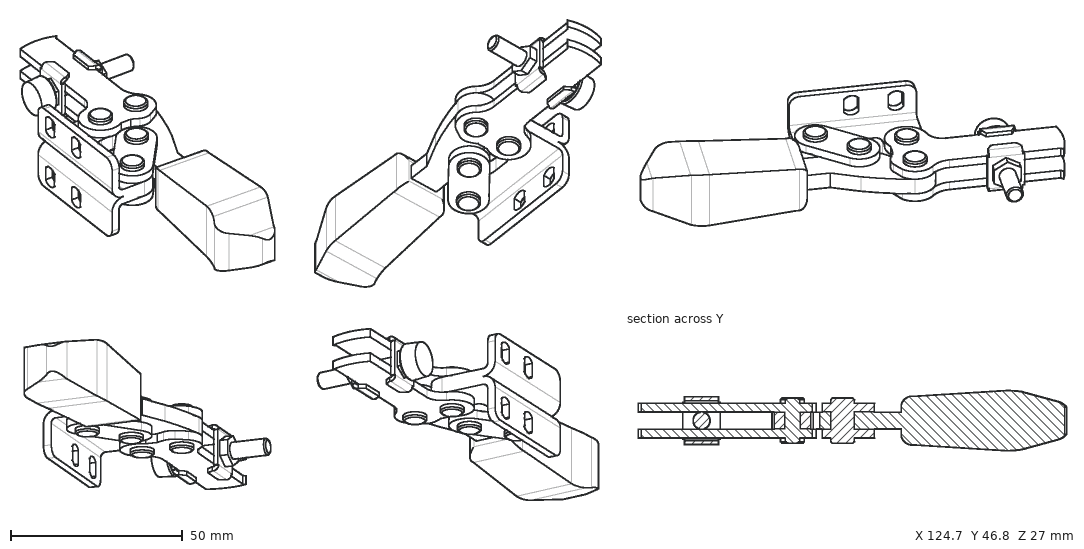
import cadquery as cq
import math


sheet = 2.5
bar_thickness = 2.6
web_half = sheet
plate_outer = web_half + bar_thickness

arm_pivot = (0.0, 0.0)
lever_pivot = (0.0, 12.5)
link_lever_pivot = (14.6, 2.6)
link_base_pivot = (25.8, -6.6)
lobe_radius = 6.0
rivet_radius = 3.5
rivet_half = 6.6
rivet_chamfer = 0.5

base_left = -lobe_radius
base_right = link_base_pivot[0] + lobe_radius
base_bottom = -18.0
overall_height = 46.8
flange_half = 13.5
flange_corner = 3.0
bend_inner = 1.5
bend_outer = bend_inner + sheet
post_right = 6.5
shelf_y = -6.2
shelf_fillet = 2.0
shelf_bend_x = 13.1
shelf_bend_radius = 11.2
slot_width = 4.5
slot_length = 6.5
slot_end_radius = 2.7
slot_z = 8.6
slot_xs = (0.1, 13.3)

bar_bottom = 2.0
bar_top = 14.0
bar_tip_corner = -43.9
bar_tip = -44.9
arm_lobe_radius = 6.5
arm_lower_fillet = 5.0
arm_upper_fillet = 7.0
arm_waist_x = 5.5

strip_bottom = 0.9
strip_top = 10.2
strip_end = 62.4
grip_left = 31.6
grip_tilt = -1.3
grip_axis_y = 5.0
grip_blank_half_z = 25.0
grip_blank_half_y = 37.4

spindle_x = -26.5
spindle_radius = 2.5
spindle_top = base_bottom + overall_height
spindle_chamfer = 0.5
washer_thickness = 1.2
nut_flats = 8.0
upper_nut_height = 2.5
cap_top = -0.6
cap_bottom = -6.0
cap_radius = 5.5
cap_end_radius = 5.1
cap_chamfer = 0.5
washer_half_x = 5.5
washer_half_z = 5.4
wing_half_x = 5.0
wing_tip_half_x = 3.7
wing_bend_inner = 0.4
wing_bend_outer = wing_bend_inner + washer_thickness
wing_reach = 2.6
wing_taper_start = 0.7


def toward(start, end, distance):
    """Point at a distance from start on the way to end."""
    length = math.dist(start, end)
    return tuple(a + (b - a) * distance / length for a, b in zip(start, end))


def lateral(radius, height):
    """Horizontal leg of a right triangle with the given hypotenuse and vertical leg."""
    return math.sqrt(radius**2 - height**2)


def arc_middle(center, start, end):
    """Middle of the short arc from start to end around center."""
    chord_middle = tuple((a + b) / 2 for a, b in zip(start, end))
    return toward(center, chord_middle, math.dist(center, start))


def slab(outline, z_low, z_high):
    """Closed XY outline as a plate from z_low to z_high."""
    return outline.extrude(z_high - z_low).translate((0, 0, z_low))


def disc(center, radius, half):
    """Cylinder along Z, centred on Z = 0."""
    return cq.Workplane("XY").center(*center).circle(radius).extrude(half, both=True)


def rivet(center):
    """Rivet right through the clamp, with chamfered heads."""
    return disc(center, rivet_radius, rivet_half).faces("<Z or >Z").chamfer(rivet_chamfer)



def base_web():
    """Flat web that carries the arm post and the link lobe."""
    bend_center = (shelf_bend_x, shelf_y + shelf_bend_radius)
    lobe_start = toward(link_base_pivot, bend_center, lobe_radius)
    lobe_top = (link_base_pivot[0], link_base_pivot[1] + lobe_radius)
    lobe_right = (base_right, link_base_pivot[1])
    corner_center = (post_right + shelf_fillet, shelf_y + shelf_fillet)
    corner_start = (post_right, corner_center[1])
    corner_end = (corner_center[0], shelf_y)
    rise_start = (shelf_bend_x, shelf_y)
    web_bottom = base_bottom + bend_outer
    outline = (
        cq.Workplane("XY")
        .moveTo(base_left, web_bottom)
        .lineTo(base_left, arm_pivot[1])
        .threePointArc((arm_pivot[0], lobe_radius), (lobe_radius, arm_pivot[1]))
        .lineTo(*corner_start)
        .threePointArc(arc_middle(corner_center, corner_start, corner_end), corner_end)
        .lineTo(*rise_start)
        .threePointArc(arc_middle(bend_center, rise_start, lobe_start), lobe_start)
        .threePointArc(lobe_top, lobe_right)
        .lineTo(base_right, web_bottom)
        .close()
    )
    return slab(outline, -web_half, web_half)


def base_flange():
    """Foot flange on the +Z side, with its bend into the web."""
    bend_center = (base_bottom + bend_outer, bend_outer)
    diagonal = math.sqrt(0.5)
    outer_middle = (bend_center[0] - bend_outer * diagonal, bend_center[1] - bend_outer * diagonal)
    inner_middle = (bend_center[0] - bend_inner * diagonal, bend_center[1] - bend_inner * diagonal)
    profile = (
        cq.Workplane("YZ", origin=(base_left, 0, 0))
        .moveTo(bend_center[0], 0)
        .threePointArc(outer_middle, (base_bottom, bend_outer))
        .lineTo(base_bottom, flange_half)
        .lineTo(base_bottom + sheet, flange_half)
        .lineTo(base_bottom + sheet, bend_outer)
        .threePointArc(inner_middle, (bend_center[0], sheet))
        .close()
    )
    flange = profile.extrude(base_right - base_left)
    flange = flange.edges("|Y and >Z").fillet(flange_corner)
    for x in slot_xs:
        flange = flange.cut(mounting_slot(x))
    return flange


def mounting_slot(x):
    """Cutter for a slot with straight sides and shallow arc ends."""
    side_half = slot_length / 2 - slot_end_radius + lateral(slot_end_radius, slot_width / 2)
    outline = (
        cq.Workplane("XZ", origin=(x, base_bottom + sheet, slot_z))
        .moveTo(-slot_width / 2, -side_half)
        .threePointArc((0, -slot_length / 2), (slot_width / 2, -side_half))
        .lineTo(slot_width / 2, side_half)
        .threePointArc((0, slot_length / 2), (-slot_width / 2, side_half))
        .close()
    )
    return outline.extrude(sheet)


def make_base():
    flange = base_flange()
    base = base_web().union(flange).union(flange.mirror("XY"))
    for pivot in (arm_pivot, link_base_pivot):
        base = base.cut(disc(pivot, rivet_radius, web_half))
    return base



def arm_outline():
    lower_center = (
        -lateral(arm_lower_fillet + arm_lobe_radius, bar_bottom - arm_lower_fillet),
        bar_bottom - arm_lower_fillet,
    )
    upper_center = (
        -lateral(arm_upper_fillet + lobe_radius, bar_top + arm_upper_fillet - lever_pivot[1]),
        bar_top + arm_upper_fillet,
    )
    lower_start = (lower_center[0], bar_bottom)
    lower_end = toward(arm_pivot, lower_center, arm_lobe_radius)
    upper_start = toward(lever_pivot, upper_center, lobe_radius)
    upper_end = (upper_center[0], bar_top)
    waist_low = (arm_waist_x, lateral(arm_lobe_radius, arm_waist_x))
    lobe_top = (lever_pivot[0], lever_pivot[1] + lobe_radius)
    lobe_end = (4.6, 16.3)
    nose_high = (6.6, 13.0)
    nose = (7.0, 11.2)
    nose_low = (6.6, 9.4)
    waist_high = (arm_waist_x, 7.0)
    tip_hook = (-43.7, 14.7)
    tip_hook_foot = (-42.9, bar_top)
    return (
        cq.Workplane("XY")
        .moveTo(bar_tip_corner, bar_bottom)
        .lineTo(*lower_start)
        .threePointArc(arc_middle(lower_center, lower_start, lower_end), lower_end)
        .threePointArc((arm_pivot[0], -arm_lobe_radius), waist_low)
        .lineTo(*waist_high)
        .lineTo(*nose_low)
        .threePointArc(nose, nose_high)
        .lineTo(*lobe_end)
        .threePointArc(lobe_top, upper_start)
        .threePointArc(arc_middle(upper_center, upper_start, upper_end), upper_end)
        .lineTo(*tip_hook_foot)
        .lineTo(*tip_hook)
        .threePointArc((bar_tip, (bar_bottom + bar_top) / 2), (bar_tip_corner, bar_bottom))
        .close()
    )


def make_arm():
    bar = slab(arm_outline(), web_half, plate_outer)
    arm = bar.union(bar.mirror("XY"))
    for pivot in (arm_pivot, lever_pivot):
        arm = arm.union(rivet(pivot))
    return arm



def make_link():
    span = math.dist(link_lever_pivot, link_base_pivot)
    angle = math.degrees(
        math.atan2(
            link_base_pivot[1] - link_lever_pivot[1],
            link_base_pivot[0] - link_lever_pivot[0],
        )
    )
    middle = tuple((a + b) / 2 for a, b in zip(link_lever_pivot, link_base_pivot))
    outline = cq.Workplane("XY").center(*middle).slot2D(span + 2 * lobe_radius, 2 * lobe_radius, angle)
    strap = slab(outline, web_half, plate_outer)
    link = strap.union(strap.mirror("XY"))
    for pivot in (link_lever_pivot, link_base_pivot):
        link = link.union(rivet(pivot))
    return link



def lever_plate():
    """Steel plate between the arm bars and the links, running into the grip."""
    nose_bottom = (lever_pivot[0], lever_pivot[1] - lobe_radius)
    nose_left = (lever_pivot[0] - lobe_radius, lever_pivot[1])
    back_start_x = 1.2
    back_start = (back_start_x, lever_pivot[1] + lateral(lobe_radius, back_start_x))
    back_middle = (8.7, 16.6)
    back_end = (16.5, 14.0)
    strip_start = (24.7, strip_top)
    belly_low = (8.7, 2.0)
    belly_high = (6.0, 4.2)
    outline = (
        cq.Workplane("XY")
        .moveTo(*nose_bottom)
        .threePointArc(nose_left, back_start)
        .threePointArc(back_middle, back_end)
        .lineTo(*strip_start)
        .lineTo(strip_end, strip_top)
        .lineTo(strip_end, strip_bottom)
        .lineTo(link_lever_pivot[0], strip_bottom)
        .lineTo(*belly_low)
        .lineTo(*belly_high)
        .close()
    )
    plate = slab(outline, -web_half, web_half)
    plate = plate.union(disc(link_lever_pivot, lobe_radius, web_half))
    for pivot in (lever_pivot, link_lever_pivot):
        plate = plate.cut(disc(pivot, rivet_radius, web_half))
    return plate


def grip_side_outline():
    """XY outline of the grip: flat back, drooping nose, rounded tip."""
    return (
        cq.Workplane("XY")
        .moveTo(31.7, 10.7)
        .threePointArc((32.5, 12.9), (34.5, 13.6))
        .lineTo(61.4, 14.1)
        .threePointArc((64.0, 13.8), (66.5, 13.1))
        .lineTo(77.0, 8.0)
        .threePointArc((79.8, 4.4), (79.1, 2.4))
        .lineTo(73.9, -5.7)
        .threePointArc((71.1, -7.7), (68.4, -7.1))
        .threePointArc((65.0, -5.6), (60.9, -4.7))
        .lineTo(34.4, -3.6)
        .threePointArc((32.2, -2.7), (31.3, -0.5))
        .close()
    )


def grip_plan_outline():
    """XZ outline of the grip: widest two thirds along, rounded at both ends."""
    start = (35.4, 7.1)
    swell_start = (61.1, 8.7)
    swell = (64.3, 8.7)
    swell_end = (66.5, 8.5)
    tip_start = (77.1, 5.6)
    tip = (79.3, 4.4)
    tip_end = (80.6, 2.2)
    corner = (32.7, 6.4)
    root = (grip_left, 4.0)
    return (
        cq.Workplane("XZ")
        .moveTo(root[0], -root[1])
        .lineTo(*root)
        .threePointArc(corner, start)
        .lineTo(*swell_start)
        .threePointArc(swell, swell_end)
        .lineTo(*tip_start)
        .threePointArc(tip, tip_end)
        .lineTo(tip_end[0], -tip_end[1])
        .threePointArc((tip[0], -tip[1]), (tip_start[0], -tip_start[1]))
        .lineTo(swell_end[0], -swell_end[1])
        .threePointArc((swell[0], -swell[1]), (swell_start[0], -swell_start[1]))
        .lineTo(start[0], -start[1])
        .threePointArc((corner[0], -corner[1]), (root[0], -root[1]))
        .close()
    )


def make_hand_lever():
    side = grip_side_outline().extrude(grip_blank_half_z, both=True)
    plan = grip_plan_outline().extrude(grip_blank_half_y, both=True)
    plan = plan.rotate((grip_left, grip_axis_y, 0), (grip_left, grip_axis_y, 1), grip_tilt)
    return lever_plate().union(side.intersect(plan))



def spindle_cylinder(radius, low, high):
    plane = cq.Plane(origin=(spindle_x, low, 0), xDir=(1, 0, 0), normal=(0, 1, 0))
    return cq.Workplane(plane).circle(radius).extrude(high - low)


def nut(low, high):
    """Hexagon with flats facing +X and -X."""
    plane = cq.Plane(origin=(spindle_x, low, 0), xDir=(1, 0, 0), normal=(0, 1, 0))
    return cq.Workplane(plane).polygon(6, nut_flats, circumscribed=True).extrude(high - low)


def pressure_cap():
    return (
        cq.Workplane("XY", origin=(spindle_x, 0, 0))
        .moveTo(0, cap_bottom)
        .lineTo(cap_end_radius, cap_bottom)
        .lineTo(cap_radius, cap_top - cap_chamfer)
        .lineTo(cap_radius - cap_chamfer, cap_top)
        .lineTo(0, cap_top)
        .close()
        .revolve(360, (0, 0), (0, 1))
    )


def make_spindle():
    rod = spindle_cylinder(spindle_radius, cap_top, spindle_top).faces(">Y").chamfer(spindle_chamfer)
    upper_seat = bar_top + washer_thickness
    lower_seat = bar_bottom - washer_thickness
    spindle = rod.union(nut(upper_seat, upper_seat + upper_nut_height))
    spindle = spindle.union(nut(cap_top, lower_seat))
    return spindle.union(pressure_cap())



def washer_wing():
    """Wing on the +Z side of a washer whose inner face is at Y = 0, body above."""
    diagonal = math.sqrt(0.5)
    bend_y = -wing_bend_inner
    bend_z = washer_half_z
    outer_z = bend_z + wing_bend_outer
    inner_z = bend_z + wing_bend_inner
    profile = (
        cq.Workplane("YZ")
        .moveTo(0, bend_z)
        .lineTo(washer_thickness, bend_z)
        .threePointArc(
            (bend_y + wing_bend_outer * diagonal, bend_z + wing_bend_outer * diagonal),
            (bend_y, outer_z),
        )
        .lineTo(-wing_reach, outer_z)
        .lineTo(-wing_reach, inner_z)
        .lineTo(bend_y, inner_z)
        .threePointArc(
            (bend_y + wing_bend_inner * diagonal, bend_z + wing_bend_inner * diagonal),
            (0, bend_z),
        )
        .close()
    )
    width = (
        cq.Workplane("XY")
        .polyline(
            [
                (-wing_half_x, washer_thickness),
                (-wing_half_x, -wing_taper_start),
                (-wing_tip_half_x, -wing_reach),
                (wing_tip_half_x, -wing_reach),
                (wing_half_x, -wing_taper_start),
                (wing_half_x, washer_thickness),
            ]
        )
        .close()
        .extrude(outer_z)
    )
    return profile.extrude(wing_half_x, both=True).intersect(width)


def make_washer():
    """Washer with its inner face at Y = 0 and the spindle axis at X = 0."""
    plate = cq.Workplane("XY").box(
        2 * washer_half_x, washer_thickness, 2 * washer_half_z, centered=(True, False, True)
    )
    wing = washer_wing()
    washer = plate.union(wing).union(wing.mirror("XY"))
    hole = cq.Workplane("XZ").circle(spindle_radius).extrude(-washer_thickness)
    return washer.cut(hole)


def make_washers():
    """One washer on the upper bar edge and its mirror image on the lower one."""
    washers = []
    for seat, flipped in ((bar_top, False), (bar_bottom, True)):
        washer = make_washer()
        if flipped:
            washer = washer.mirror("XZ")
        washers.append(washer.translate((spindle_x, seat, 0)))
    return washers


base = make_base()
arm = make_arm()
link = make_link()
hand_lever = make_hand_lever()
spindle = make_spindle()
washers = make_washers()

result = cq.Compound.makeCompound(
    [
        base.val(),
        arm.val(),
        link.val(),
        hand_lever.val(),
        spindle.val(),
        *[washer.val() for washer in washers],
    ]
)